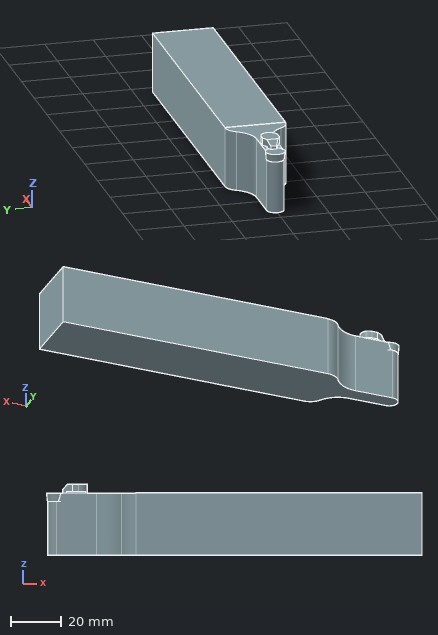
import cadquery as cq
import math

overall_length = 150.0
shank_width = 25.0
shank_height = 25.0
shank_start = 35.7
half_shank = shank_width / 2

neck_width = 7.0
neck_drop = 0.2
half_neck = neck_width / 2
neck_top = shank_height - neck_drop
concave_radius = 11.5
flare_length = 15.8
flare_start = shank_start - flare_length
flare_rise = half_shank - half_neck

insert_radius = 3.98
insert_bottom_radius = 3.6
insert_height = 3.3
insert_x = insert_radius
insert_bottom = neck_top - insert_height

clamp_top = 28.5
clamp_radius = 3.5
clamp_round_x = 12.9
clamp_flat_start = 10.5
nose_tip_x = 6.5
nose_half_width = 1.2
nose_face_height = 1.4
slope_top_x = 8.4

rebate_height = 0.6
foot_width = 4.2


def make_shank():
    length = overall_length - shank_start
    return (
        cq.Workplane("XY", origin=(shank_start, 0, 0))
        .box(length, shank_width, shank_height, centered=(False, True, False))
    )


def make_neck():
    """Blade with a round front edge and an S-shaped flare of two tangent arcs on each side."""
    radius_sum = (flare_length**2 + flare_rise**2) / (2 * flare_rise)
    convex_radius = radius_sum - concave_radius
    turn_half = math.asin(flare_length / radius_sum) / 2

    inflection_x = flare_start + flare_length * concave_radius / radius_sum
    inflection_y = half_neck + flare_rise * concave_radius / radius_sum
    concave_mid_x = flare_start + concave_radius * math.sin(turn_half)
    concave_mid_y = half_neck + concave_radius * (1 - math.cos(turn_half))
    convex_mid_x = shank_start - convex_radius * math.sin(turn_half)
    convex_mid_y = half_shank - convex_radius * (1 - math.cos(turn_half))

    return (
        cq.Workplane("XY")
        .moveTo(insert_x, half_neck)
        .lineTo(flare_start, half_neck)
        .threePointArc((concave_mid_x, concave_mid_y), (inflection_x, inflection_y))
        .threePointArc((convex_mid_x, convex_mid_y), (shank_start, half_shank))
        .lineTo(shank_start, -half_shank)
        .threePointArc((convex_mid_x, -convex_mid_y), (inflection_x, -inflection_y))
        .threePointArc((concave_mid_x, -concave_mid_y), (flare_start, -half_neck))
        .lineTo(insert_x, -half_neck)
        .threePointArc((insert_x - half_neck, 0), (insert_x, half_neck))
        .close()
        .extrude(neck_top)
    )


def make_clamp_head():
    head = (
        cq.Workplane("XY", origin=(0, 0, neck_top))
        .moveTo(nose_tip_x, nose_half_width)
        .lineTo(clamp_flat_start, clamp_radius)
        .lineTo(clamp_round_x, clamp_radius)
        .threePointArc((clamp_round_x + clamp_radius, 0), (clamp_round_x, -clamp_radius))
        .lineTo(clamp_flat_start, -clamp_radius)
        .lineTo(nose_tip_x, -nose_half_width)
        .close()
        .extrude(clamp_top - neck_top)
    )
    nose_slope = (
        cq.Workplane("XZ")
        .moveTo(nose_tip_x, neck_top + nose_face_height)
        .lineTo(slope_top_x, clamp_top)
        .lineTo(nose_tip_x, clamp_top)
        .close()
        .extrude(clamp_radius, both=True)
    )
    head = head.cut(nose_slope)

    rebate_width = clamp_radius - foot_width / 2
    head_length = clamp_round_x + clamp_radius - nose_tip_x
    for side in (-1, 1):
        rebate = (
            cq.Workplane("XY", origin=(nose_tip_x, side * (foot_width + rebate_width) / 2, neck_top))
            .rect(2 * head_length, rebate_width)
            .extrude(rebate_height)
        )
        head = head.cut(rebate)
    return head


def make_insert():
    return (
        cq.Workplane("XY", origin=(insert_x, 0, insert_bottom))
        .circle(insert_bottom_radius)
        .workplane(offset=insert_height)
        .circle(insert_radius)
        .loft(ruled=True)
    )


def make_holder(seated_insert):
    """Neck with the insert seat cut out, joined to the shank and the clamp head."""
    seated_neck = make_neck().cut(seated_insert)
    return seated_neck.union(make_shank()).union(make_clamp_head())


insert = make_insert()
holder = make_holder(insert)

result = cq.Compound.makeCompound([holder.val(), insert.val()])